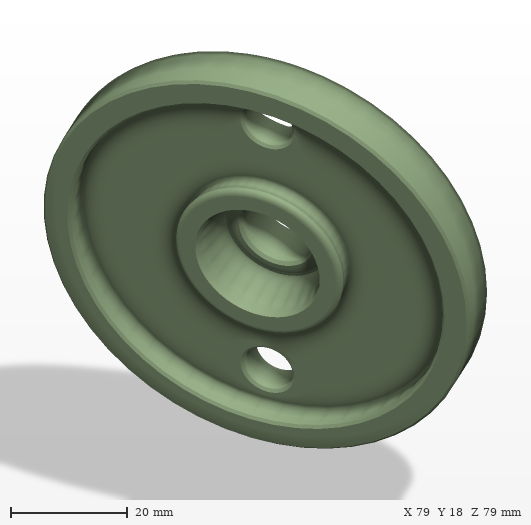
import cadquery as cq
import math

plate_radius = 39.5
plate_thickness = 18.0
edge_chamfer = 0.5

shoulder_start = 6.9
shoulder_end = 11.6
shoulder_end_radius = 36.6
dome_mid = (24.5, 15.3)
dome_flat_radius = 11.7

recess_radius = 34.45
recess_depth = 5.1
recess_mouth_chamfer = 0.5
recess_floor_fillet = 0.5

hub_neck_radius = 15.1
hub_face = 0.7
bead_radius = 15.4
bead_round = 1.0
hub_base_fillet = 0.5
overlap = 0.8

bore_mouth_radius = 11.5
bore_end_radius = 9.8
bore_end = 10.2
collar_base_radius = 9.25
collar_tip = 9.3
throat_radius = 6.5
throat_chamfer = 0.55

screw_offset = 27.5
screw_radius = 4.5
screw_chamfer = 0.5
head_radius = 9.9
head_seat = 11.0


def turn(profile):
    """Revolve a (radius, Y) profile about the Y axis."""
    return profile.close().revolve(360, (0, 0, 0), (0, 1, 0))


def cylinder(radius, start, end, z=0.0):
    """Cylinder along +Y from start to end, centred at height z."""
    return cq.Workplane("XZ", origin=(0, start, z)).circle(radius).extrude(start - end)


def make_plate():
    run = plate_radius - shoulder_end_radius
    rise = shoulder_end - shoulder_start
    shoulder_radius = (run**2 + rise**2) / (2 * run)
    half_sweep = math.asin(rise / shoulder_radius) / 2
    shoulder_mid = (
        plate_radius - shoulder_radius * (1 - math.cos(half_sweep)),
        shoulder_start + shoulder_radius * math.sin(half_sweep),
    )
    return turn(
        cq.Workplane("XY")
        .moveTo(0, 0)
        .lineTo(plate_radius - edge_chamfer, 0)
        .lineTo(plate_radius, edge_chamfer)
        .lineTo(plate_radius, shoulder_start)
        .threePointArc(shoulder_mid, (shoulder_end_radius, shoulder_end))
        .threePointArc(dome_mid, (dome_flat_radius, plate_thickness))
        .lineTo(0, plate_thickness)
    )


def make_recess():
    pocket = cylinder(recess_radius, 0, recess_depth).faces(">Y").edges().fillet(recess_floor_fillet)
    mouth = turn(
        cq.Workplane("XY")
        .lineTo(recess_radius + recess_mouth_chamfer, 0)
        .lineTo(recess_radius, recess_mouth_chamfer)
        .lineTo(0, recess_mouth_chamfer)
    )
    return pocket.union(mouth)


def make_hub():
    bead_centre_radius = bead_radius - bead_round
    bead_centre = hub_face + bead_round
    neck_offset = hub_neck_radius - bead_centre_radius
    neck_start = bead_centre + math.sqrt(bead_round**2 - neck_offset**2)
    foot_start = recess_depth - hub_base_fillet
    foot_radius = hub_neck_radius + hub_base_fillet
    fillet_bulge = hub_base_fillet * math.sqrt(0.5)
    return turn(
        cq.Workplane("XY")
        .moveTo(0, hub_face)
        .lineTo(bead_centre_radius, hub_face)
        .threePointArc((bead_radius, bead_centre), (hub_neck_radius, neck_start))
        .lineTo(hub_neck_radius, foot_start)
        .threePointArc(
            (foot_radius - fillet_bulge, foot_start + fillet_bulge),
            (foot_radius, recess_depth),
        )
        .lineTo(foot_radius, recess_depth + overlap)
        .lineTo(0, recess_depth + overlap)
    )


def make_bore():
    return turn(
        cq.Workplane("XY")
        .moveTo(0, hub_face)
        .lineTo(bore_mouth_radius, hub_face)
        .lineTo(bore_end_radius, bore_end)
        .lineTo(collar_base_radius, bore_end)
        .lineTo(throat_radius + throat_chamfer, collar_tip)
        .lineTo(throat_radius, collar_tip + throat_chamfer)
        .lineTo(throat_radius, plate_thickness)
        .lineTo(0, plate_thickness)
    )


def make_screw_hole(z):
    hole = cylinder(screw_radius, 0, plate_thickness, z)
    head = cylinder(head_radius, head_seat, plate_thickness, z)
    mouth = cq.Workplane("XZ", origin=(0, recess_depth, z)).circle(screw_radius + screw_chamfer)
    mouth = mouth.workplane(offset=-screw_chamfer).circle(screw_radius).loft()
    return hole.union(head).union(mouth)


result = make_plate().cut(make_recess()).union(make_hub()).cut(make_bore())
for z in (-screw_offset, screw_offset):
    result = result.cut(make_screw_hole(z))